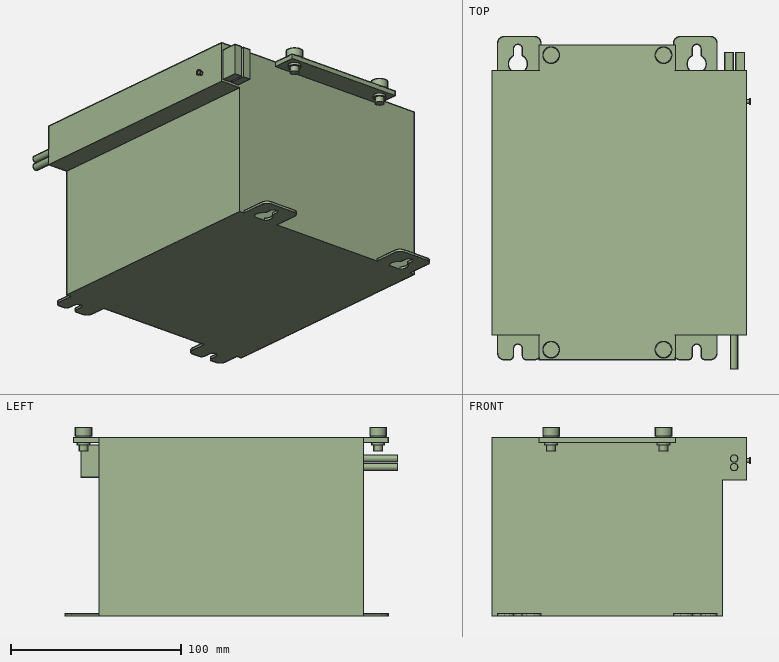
import cadquery as cq

body_width = 135.6
shell_depth = 155.0
front_wall_thickness = 0.5
body_height = 105.0
overhang_width = 14.0
overhang_height = 25.0
total_width = body_width + overhang_width
outer_width = 152.0
body_back = shell_depth / 2
body_front = -body_back - front_wall_thickness

plate_width = 80.0
plate_reach = 15.0
plate_thickness = 3.0
screw_spacing = 66.0
screw_edge_distance = 6.0
screw_head_diameter = 9.8
screw_neck_diameter = 9.0
screw_neck_height = 1.0
screw_head_height = 4.9
nut_diameter = 7.5
nut_height = 1.5
shank_diameter = 5.3
shank_reach = 5.0

foot_width = 25.6
foot_thickness = 1.5
foot_corner_radius = 4.0
foot_slot_spacing = 105.0
foot_slot_offset = 12.0
slot_width = 5.1
back_foot_reach = 20.0
key_slot_end = 4.7
key_hole_position = 16.2
key_hole_diameter = 11.0
front_foot_reach = 15.0
front_slot_length = 9.2
slot_mouth_radius = 2.5

cable_diameter = 4.3
cable_length = 20.0
cable_x = 142.3
cable_drops = (12.4, 17.4)
terminal_width = 5.2
terminal_reach = 10.6
terminal_lefts = (136.7, 143.2)
terminal_top_drop = 4.4
terminal_bottom_drop = 23.5
knob_y = body_back - 18.2
knob_drop = 13.6
knob_neck_diameter = 2.5
knob_head_diameter = 3.4
knob_head_thickness = 0.6
knob_reach = outer_width - total_width


def box(x_range, y_range, z_range):
    """Box spanning three (low, high) ranges."""
    (x0, x1), (y0, y1), (z0, z1) = x_range, y_range, z_range
    return cq.Workplane("XY").box(x1 - x0, y1 - y0, z1 - z0, centered=False).translate((x0, y0, z0))


def rod(diameter, length, start, direction):
    """Cylinder from a start point along a direction."""
    return cq.Workplane(cq.Solid.makeCylinder(diameter / 2, length, cq.Vector(*start), cq.Vector(*direction)))


def make_body():
    lower = box((0, body_width), (body_front, body_back), (0, body_height))
    upper = box((0, total_width), (body_front, body_back), (body_height - overhang_height, body_height))
    return lower.union(upper)


def make_plate():
    middle = body_width / 2
    reach = body_back + plate_reach
    return box(
        (middle - plate_width / 2, middle + plate_width / 2),
        (-reach, reach),
        (body_height - plate_thickness, body_height),
    )


def make_screw(x, y):
    up = (0, 0, 1)
    plate_bottom = body_height - plate_thickness
    shank = rod(shank_diameter, shank_reach, (x, y, plate_bottom - shank_reach), up)
    nut = rod(nut_diameter, nut_height, (x, y, plate_bottom - nut_height), up)
    neck = rod(screw_neck_diameter, screw_neck_height, (x, y, body_height), up)
    head = rod(screw_head_diameter, screw_head_height, (x, y, body_height + screw_neck_height), up)
    return shank.union(nut).union(neck).union(head)


def foot_blank(reach):
    """Left foot pointing along +Y, slot axis at X = 0 and outer edge at Y = 0."""
    left = -foot_slot_offset
    blank = box((left, left + foot_width), (-reach, 0), (0, foot_thickness))
    return blank.edges("|Z and >Y").fillet(foot_corner_radius)


def make_back_foot():
    slot_center = key_slot_end + slot_width / 2
    slot = box((-slot_width / 2, slot_width / 2), (-key_hole_position, -slot_center), (0, foot_thickness))
    up = (0, 0, 1)
    slot_end = rod(slot_width, foot_thickness, (0, -slot_center, 0), up)
    wide_hole = rod(key_hole_diameter, foot_thickness, (0, -key_hole_position, 0), up)
    foot = foot_blank(back_foot_reach).cut(slot).cut(slot_end).cut(wide_hole)
    return foot.translate((0, body_back + back_foot_reach, 0))


def make_front_foot():
    slot_center = front_slot_length - slot_width / 2
    slot = box((-slot_width / 2, slot_width / 2), (-slot_center, 0), (0, foot_thickness))
    slot_end = rod(slot_width, foot_thickness, (0, -slot_center, 0), (0, 0, 1))
    foot = foot_blank(front_foot_reach).cut(slot).cut(slot_end)
    mouth_zone = cq.selectors.BoxSelector(
        (-slot_width, -slot_width / 2, 0), (slot_width, slot_width / 2, foot_thickness)
    )
    foot = foot.edges("|Z and >Y").edges(mouth_zone).fillet(slot_mouth_radius)
    return foot.mirror("XZ").translate((0, -body_back - front_foot_reach, 0))


def make_foot_pair(foot):
    left = foot.translate((-foot_slot_spacing / 2, 0, 0))
    return left.union(left.mirror("YZ")).translate((body_width / 2, 0, 0))


def make_cable(drop):
    return rod(cable_diameter, cable_length, (cable_x, body_front, body_height - drop), (0, -1, 0))


def make_terminal(left):
    return box(
        (left, left + terminal_width),
        (body_back, body_back + terminal_reach),
        (body_height - terminal_bottom_drop, body_height - terminal_top_drop),
    )


def make_knob():
    z = body_height - knob_drop
    head_x = total_width + knob_reach - knob_head_thickness
    neck = rod(knob_neck_diameter, knob_reach, (total_width, knob_y, z), (1, 0, 0))
    head = rod(knob_head_diameter, knob_head_thickness, (head_x, knob_y, z), (1, 0, 0))
    return neck.union(head)


result = make_body().union(make_plate())

screw_y = body_back + plate_reach - screw_edge_distance
for x_side in (-1, 1):
    for y_side in (-1, 1):
        result = result.union(make_screw(body_width / 2 + x_side * screw_spacing / 2, y_side * screw_y))

result = result.union(make_foot_pair(make_back_foot()))
result = result.union(make_foot_pair(make_front_foot()))

for drop in cable_drops:
    result = result.union(make_cable(drop))
for left in terminal_lefts:
    result = result.union(make_terminal(left))
result = result.union(make_knob())